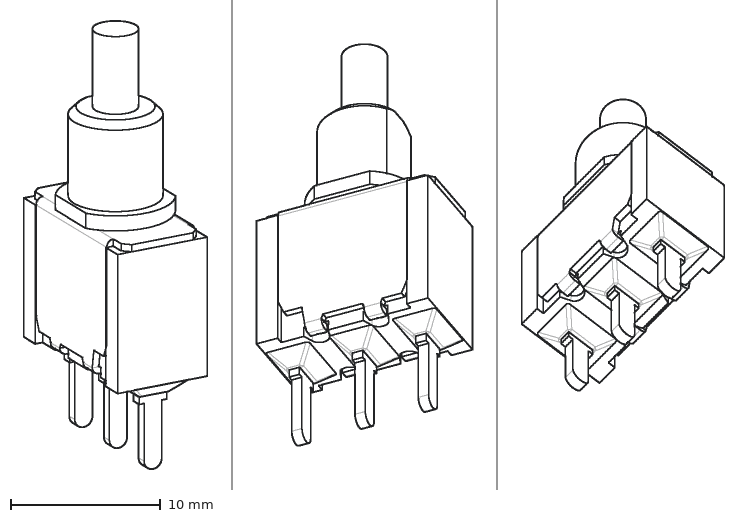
import cadquery as cq
import math


overall_height = 29.7
housing_length = 12.7
housing_depth = 6.9
housing_height = 9.9

sheet = 0.5
flap_width = 9.55
flap_outer_depth = 6.77
plate_depth = flap_outer_depth - 2 * sheet
plate_corner_chamfer = 0.53
plate_top = housing_height + sheet

tab_bend_height = 0.7
flap_bottom = 1.0
left_corner_height = 2.0
right_step_height = 2.02
right_corner_height = 2.95
flap_corner_run = 0.42
step_inner_x = 3.03
relief_run = 0.12

tab_center_x = 2.2
tab_width = 1.25
tab_reach = 0.45
notch_width = 1.8
notch_wall_slope = 20.0
notch_end_radius = 0.68

washer_diameter = 8.02
washer_thickness = 1.07
bushing_diameter = 6.35
bushing_height = 6.32
bushing_chamfer = 0.53
bushing_flat_x = -2.55
plunger_diameter = 3.1

pin_length = 6.38
pin_pitch = 4.7
pin_thickness = 0.77
pin_width = 1.37
shoulder_width = 2.15
shoulder_length = 1.6
seal_height = 1.05
seal_base_x = 3.2
seal_base_y = 4.4
seal_edge_radius = 0.3
seal_taper = 45.0

core_face_y = plate_depth / 2
pin_positions = [-pin_pitch, 0.0, pin_pitch]
tab_positions = [-tab_center_x, tab_center_x]


def box_on(length, depth, height, bottom):
    """Box centred on the Z axis, standing on the level `bottom`."""
    return cq.Workplane("XY", origin=(0, 0, bottom)).box(length, depth, height, centered=(True, True, False))


def rod(diameter, height, bottom):
    """Cylinder on the Z axis, standing on the level `bottom`."""
    return cq.Workplane("XY", origin=(0, 0, bottom)).circle(diameter / 2).extrude(height)


def both_sides(shape):
    """The shape joined with its mirror image across the XZ plane."""
    return shape.union(shape.mirror("XZ"))


def tab_notch(center_x):
    """Blind notch in the -Y core face: tapering side walls that run tangent into a round end."""
    slope = math.radians(notch_wall_slope)
    tangent_x = notch_end_radius * math.cos(slope)
    wall_depth = (notch_width / 2 - tangent_x) / math.tan(slope)
    end_depth = wall_depth + notch_end_radius * (1 - math.sin(slope))
    notch = (
        cq.Workplane("XY", origin=(center_x, -core_face_y, 0))
        .moveTo(-notch_width / 2, 0)
        .lineTo(-tangent_x, wall_depth)
        .threePointArc((0, end_depth), (tangent_x, wall_depth))
        .lineTo(notch_width / 2, 0)
        .close()
        .extrude(tab_bend_height)
    )
    return notch


def terminal():
    """Flat pin with a shoulder and a rounded tip, in a tapered seal below the housing."""
    shoulder = box_on(pin_thickness, shoulder_width, shoulder_length, -shoulder_length)
    tip_radius = pin_width / 2
    blade = (
        cq.Workplane("YZ", origin=(-pin_thickness / 2, 0, 0))
        .moveTo(-tip_radius, 0)
        .lineTo(-tip_radius, tip_radius - pin_length)
        .threePointArc((0, -pin_length), (tip_radius, tip_radius - pin_length))
        .lineTo(tip_radius, 0)
        .close()
        .extrude(pin_thickness)
    )
    seal = (
        cq.Workplane("XY")
        .rect(seal_base_x, seal_base_y)
        .extrude(-seal_height, taper=seal_taper)
        .edges("not >Z")
        .fillet(seal_edge_radius)
    )
    return seal.union(shoulder).union(blade)


def make_housing():
    post_length = (housing_length - flap_width) / 2
    post_offset = (housing_length - post_length) / 2
    housing = box_on(housing_length, plate_depth, housing_height, 0)
    for side in (-1, 1):
        post = box_on(post_length, housing_depth, housing_height, 0)
        housing = housing.union(post.translate((side * post_offset, 0, 0)))
    for tab_x in tab_positions:
        housing = housing.cut(both_sides(tab_notch(tab_x)))
    for pin_x in pin_positions:
        housing = housing.union(terminal().translate((pin_x, 0, 0)))
    return housing


def flap_outline():
    """Front outline of a flap: its stepped bottom edge, with two lugs that continue into the tabs."""
    half_width = flap_width / 2
    tab_inner = tab_center_x - tab_width / 2
    tab_outer = tab_center_x + tab_width / 2
    points = [
        (-half_width, plate_top),
        (-half_width, left_corner_height),
        (-half_width + flap_corner_run, flap_bottom),
        (-tab_outer - relief_run, flap_bottom),
        (-tab_outer, tab_bend_height),
        (-tab_inner, tab_bend_height),
        (-tab_inner + relief_run, flap_bottom),
        (tab_inner - relief_run, flap_bottom),
        (tab_inner, tab_bend_height),
        (tab_outer, tab_bend_height),
        (step_inner_x, right_step_height),
        (half_width - flap_corner_run, right_step_height),
        (half_width, right_corner_height),
        (half_width, plate_top),
    ]
    return points


def folded_flaps():
    """Channel over the housing core with rounded bends along its top edges."""
    channel = (
        cq.Workplane("XZ", origin=(0, flap_outer_depth / 2, 0))
        .polyline(flap_outline())
        .close()
        .extrude(flap_outer_depth)
        .edges("|X and >Z")
        .fillet(sheet)
    )
    return channel.cut(box_on(housing_length, plate_depth, housing_height, 0))


def folded_tab(center_x):
    """Tab on the -Y side: a quarter-round bend followed by a short flat run inward."""
    outer_y = -flap_outer_depth / 2
    tab_underside = tab_bend_height - sheet
    bend_offset = sheet * math.sqrt(0.5)
    tab = (
        cq.Workplane("YZ", origin=(center_x - tab_width / 2, 0, 0))
        .moveTo(outer_y, tab_bend_height)
        .threePointArc(
            (-core_face_y - bend_offset, tab_bend_height - bend_offset),
            (-core_face_y, tab_underside),
        )
        .lineTo(-core_face_y + tab_reach, tab_underside)
        .lineTo(-core_face_y + tab_reach, tab_bend_height)
        .close()
        .extrude(tab_width)
    )
    return tab


def bushing_stack():
    """Washer trimmed to the housing depth, bushing with one flat, and the plunger."""
    washer = rod(washer_diameter, washer_thickness, plate_top)
    washer = washer.intersect(box_on(washer_diameter, housing_depth, washer_thickness, plate_top))

    bushing_bottom = plate_top + washer_thickness
    bushing = rod(bushing_diameter, bushing_height, bushing_bottom).faces(">Z").chamfer(bushing_chamfer)
    flat_cutter = box_on(bushing_diameter, bushing_diameter, bushing_height, bushing_bottom)
    bushing = bushing.cut(flat_cutter.translate((bushing_flat_x - bushing_diameter / 2, 0, 0)))

    plunger_bottom = bushing_bottom + bushing_height
    plunger_length = overall_height - pin_length - plunger_bottom
    plunger = rod(plunger_diameter, plunger_length, plunger_bottom)
    return washer.union(bushing).union(plunger)


def make_frame():
    plate = box_on(housing_length, plate_depth, sheet, housing_height)
    plate = plate.edges("|Z").chamfer(plate_corner_chamfer)
    frame = plate.union(folded_flaps())
    for tab_x in tab_positions:
        frame = frame.union(both_sides(folded_tab(tab_x)))
    return frame.union(bushing_stack())


housing = make_housing()
frame = make_frame()

result = cq.Compound.makeCompound([housing.solids().val(), frame.solids().val()])